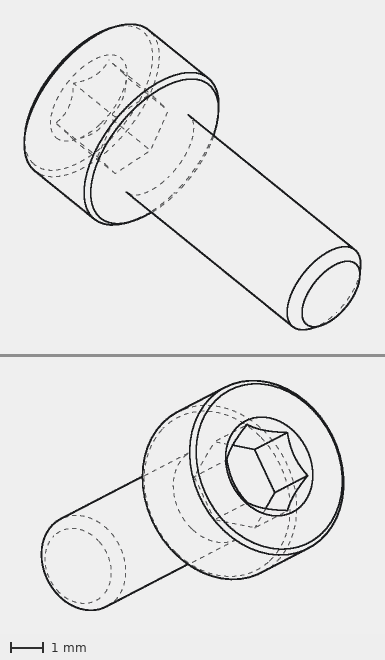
import cadquery as cq
import math

total_length = 11.0
head_diameter = 5.5
shank_diameter = 3.0
head_height = shank_diameter
head_chamfer = 0.14
neck_fillet = 0.15
tip_chamfer = 0.32

hex_across_flats = 2.5
socket_depth = 2.0
entry_diameter = 3.11
entry_cone_angle = 90.0

head_radius = head_diameter / 2
shank_radius = shank_diameter / 2
head_face = -head_height
tip_face = total_length - head_height


def make_body():
    """Head and shank as one profile revolved about the X axis."""
    fillet_middle = neck_fillet * (1 - math.sqrt(0.5))
    profile = (
        cq.Workplane("XY")
        .moveTo(head_face, 0)
        .lineTo(head_face, head_radius - head_chamfer)
        .lineTo(head_face + head_chamfer, head_radius)
        .lineTo(-head_chamfer, head_radius)
        .lineTo(0, head_radius - head_chamfer)
        .lineTo(0, shank_radius + neck_fillet)
        .threePointArc(
            (fillet_middle, shank_radius + fillet_middle),
            (neck_fillet, shank_radius),
        )
        .lineTo(tip_face - tip_chamfer, shank_radius)
        .lineTo(tip_face, shank_radius - tip_chamfer)
        .lineTo(tip_face, 0)
        .close()
    )
    return profile.revolve(360, (0, 0, 0), (1, 0, 0))


def make_socket():
    """Hexagonal pocket with corners towards +Y and -Y."""
    across_corners = hex_across_flats / math.cos(math.pi / 6)
    return (
        cq.Workplane("YZ", origin=(head_face, 0, 0))
        .polygon(6, across_corners)
        .extrude(socket_depth)
    )


def make_entry_cone():
    """Truncated cone that breaks the edges of the socket mouth."""
    entry_radius = entry_diameter / 2
    hex_inner_radius = hex_across_flats / 2
    cone_depth = (entry_radius - hex_inner_radius) / math.tan(math.radians(entry_cone_angle / 2))
    return cq.Workplane(
        cq.Solid.makeCone(
            entry_radius,
            hex_inner_radius,
            cone_depth,
            cq.Vector(head_face, 0, 0),
            cq.Vector(1, 0, 0),
        )
    )


result = make_body().cut(make_socket()).cut(make_entry_cone())